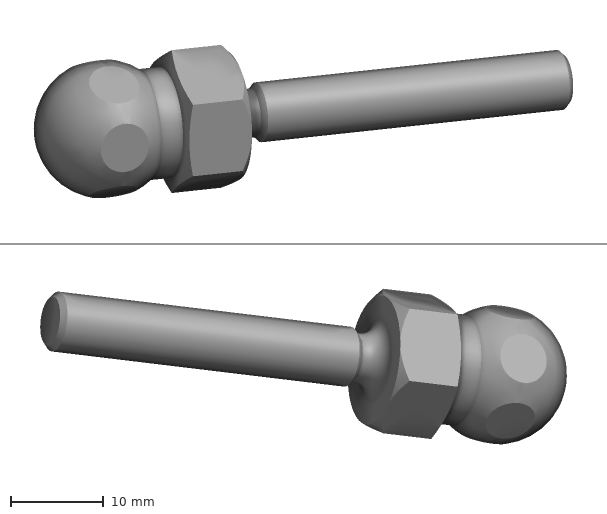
import cadquery as cq
import math

total_length = 60.1
ball_radius = 7.5
across_flats = 14.0
collar_radius = 6.0
hex_front = 7.0
hex_back = 14.5
hex_front_cone_depth = 0.8
rod_radius = 3.25
rod_tip_chamfer = 0.6
undercut_radius = 2.65
undercut_fillet = 2.0
undercut_land = 0.55

flat_radius = across_flats / 2
corner_radius = flat_radius / math.cos(math.pi / 6)
rod_end = total_length - ball_radius
sphere_collar_y = math.sqrt(ball_radius**2 - collar_radius**2)
fillet_end = hex_back + undercut_fillet
land_end = fillet_end + undercut_land
rod_start = land_end + rod_radius - undercut_radius
hex_rear_chamfer = corner_radius - flat_radius


def revolved_body():
    """Ball, collar, hexagon blank with conical ends, undercut and rod."""
    arc_middle = undercut_fillet * (1 - math.sqrt(0.5))
    profile = (
        cq.Workplane("XY")
        .moveTo(0, -ball_radius)
        .threePointArc((ball_radius, 0), (collar_radius, sphere_collar_y))
        .lineTo(collar_radius, hex_front)
        .lineTo(corner_radius, hex_front + hex_front_cone_depth)
        .lineTo(corner_radius, hex_back - hex_rear_chamfer)
        .lineTo(flat_radius, hex_back)
        .lineTo(undercut_radius + undercut_fillet, hex_back)
        .threePointArc(
            (undercut_radius + arc_middle, hex_back + arc_middle),
            (undercut_radius, fillet_end),
        )
        .lineTo(undercut_radius, land_end)
        .lineTo(rod_radius, rod_start)
        .lineTo(rod_radius, rod_end - rod_tip_chamfer)
        .lineTo(rod_radius - rod_tip_chamfer, rod_end)
        .lineTo(0, rod_end)
        .close()
    )
    return profile.revolve(360, (0, 0, 0), (0, 1, 0))


def hexagonal_bar():
    """Full-length hexagonal bar with corners pointing along Z."""
    return (
        cq.Workplane("XZ", origin=(0, rod_end, 0))
        .transformed(rotate=(0, 0, 90))
        .polygon(6, 2 * corner_radius)
        .extrude(total_length)
    )


result = revolved_body().intersect(hexagonal_bar())